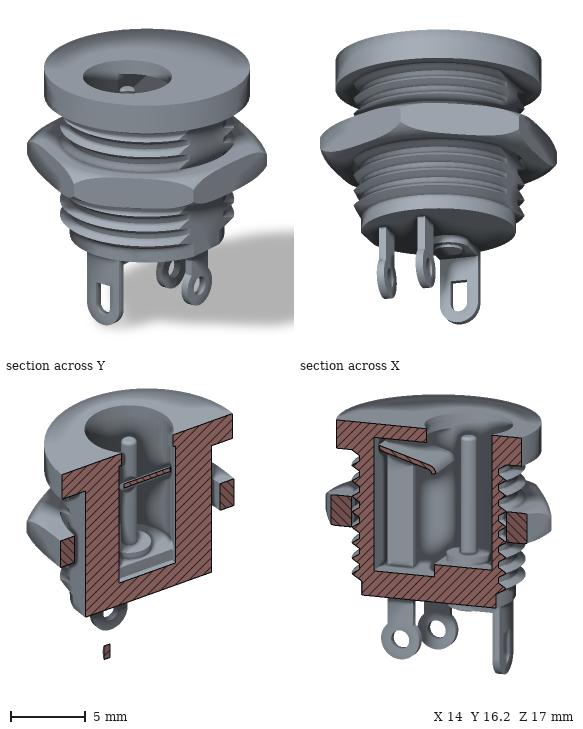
import cadquery as cq
import math


flange_radius = 6.9
flange_thickness = 2.0
housing_height = 12.0
crest_radius = 5.84
root_radius = 5.31
thread_pitch = 1.07
crest_count = 9
base_radius = 5.18
left_flat_x = -5.2
right_flat_x = 4.99
bore_radius = 2.98
bore_y = -2.16
bore_depth = 9.37

pocket_half_width = 2.26
pocket_front_y = -0.4
pocket_back_y = 3.92
pocket_roof_z = -0.99
pocket_floor_z = -10.22

nut_across_flats = 14.0
nut_face_radius = 6.9
nut_corner_drop = 0.65
nut_top_z = -(flange_thickness + 3 * thread_pitch)
nut_height = 2 * thread_pitch

pin_radius = 0.53
pin_tip_z = -0.8
pin_tip_round = 0.24
pin_collar_radius = 1.48
pin_collar_height = 0.51
rivet_radius = 0.94
rivet_height = 0.19
lug_thickness = 0.51
lug_half_width = 1.35
lug_eye_radius = 1.38
lug_leg_front_y = -4.85
lug_tip_z = -17.03
lug_slot_half_width = 0.58
lug_slot_top_z = -14.1

tail_thickness = 0.51
tail_half_width = 0.9
tail_eye_radius = 1.36
tail_hole_radius = 0.65
tail_eye_z = -15.33
spring_tail_x = 0.03
spring_tail_y = 2.65
switch_tail_x = 3.24
switch_tail_y = 1.25
switch_top_z = -9.37

spring_half_width = 1.87
spring_thickness = 0.34
spring_slope = math.radians(16)
spring_bend_y = 0.15
spring_bend_radius = 0.66
spring_bend_z = -2.5
spring_lip_lean = math.radians(15)
spring_lip_length = 0.1


def box_between(x_range, y_range, z_range):
    """Box that spans the given ranges."""
    size = [high - low for low, high in (x_range, y_range, z_range)]
    corner = (x_range[0], y_range[0], z_range[0])
    return cq.Workplane("XY").box(*size, centered=False).translate(corner)


def cylinder_between(radius, y, z_bottom, z_top):
    """Upright cylinder centred at x = 0 and the given y."""
    return cq.Workplane("XY").workplane(offset=z_bottom).center(0, y).circle(radius).extrude(z_top - z_bottom)


def make_tail(x, y, top_z):
    """Flat solder tail across X with a round eye at its lower end."""
    start_x = x - tail_thickness / 2
    neck = box_between(
        (start_x, start_x + tail_thickness),
        (y - tail_half_width, y + tail_half_width),
        (tail_eye_z, top_z),
    )
    plane = cq.Workplane("YZ").workplane(offset=start_x).center(y, tail_eye_z)
    eye = plane.circle(tail_eye_radius).extrude(tail_thickness)
    hole = plane.circle(tail_hole_radius).extrude(tail_thickness)
    return neck.union(eye).cut(hole)


def make_threaded_blank():
    """Flange, ring-grooved thread and base, revolved about Z."""
    flank = thread_pitch / 3
    flank_slope = (crest_radius - root_radius) / flank
    profile = [(0, 0), (flange_radius, 0), (flange_radius, -flange_thickness)]
    for index in range(crest_count):
        crest_z = -(flange_thickness + index * thread_pitch)
        profile.append((crest_radius, crest_z))
        if index < crest_count - 1:
            profile.append((root_radius, crest_z - flank))
            profile.append((root_radius, crest_z - 2 * flank))
    base_z = profile[-1][1] - (crest_radius - base_radius) / flank_slope
    profile += [(base_radius, base_z), (base_radius, -housing_height), (0, -housing_height)]
    return cq.Workplane("XZ").polyline(profile).close().revolve(360, (0, 0), (0, 1))


def cut_side_flats(body):
    """Cut a flat along each side of the body below the flange."""
    y_range = (-flange_radius, flange_radius)
    z_range = (-housing_height, -flange_thickness)
    left = box_between((-flange_radius, left_flat_x), y_range, z_range)
    right = box_between((right_flat_x, flange_radius), y_range, z_range)
    return body.cut(left).cut(right)


def make_housing():
    bore = cylinder_between(bore_radius, bore_y, -bore_depth, 0)
    pocket = box_between(
        (-pocket_half_width, pocket_half_width),
        (pocket_front_y, pocket_back_y),
        (pocket_floor_z, pocket_roof_z),
    )
    rivet_hole = cylinder_between(rivet_radius, bore_y, -housing_height, -bore_depth)
    housing = cut_side_flats(make_threaded_blank())
    housing = housing.cut(bore).cut(pocket).cut(rivet_hole)
    housing = housing.cut(make_tail(spring_tail_x, spring_tail_y, pocket_floor_z))
    return housing.cut(make_tail(switch_tail_x, switch_tail_y, switch_top_z))


def make_nut():
    """Hexagon with two sides square to X, a plain hole and corners rounded over on both faces."""
    corner_radius = nut_across_flats / math.sqrt(3)
    half_height = nut_height / 2
    upper_crown = (
        cq.Workplane("XZ")
        .lineTo(0, half_height)
        .lineTo(nut_face_radius, half_height)
        .tangentArcPoint((corner_radius, half_height - nut_corner_drop), relative=False)
        .lineTo(corner_radius, 0)
        .close()
        .revolve(360, (0, 0), (0, 1))
    )
    crown = upper_crown.union(upper_crown.mirror("XY"))
    hexagon = cq.Workplane("XY").polygon(6, 2 * corner_radius).extrude(half_height, both=True)
    hexagon = hexagon.rotate((0, 0, 0), (0, 0, 1), 30)
    hole = cylinder_between(crest_radius, 0, -half_height, half_height)
    return hexagon.intersect(crown).cut(hole).translate((0, 0, nut_top_z - half_height))


def make_lug():
    """L-shaped solder lug: a plate under the housing and a leg with a slot."""
    plate_bottom_z = -housing_height - lug_thickness
    leg_y_range = (lug_leg_front_y, lug_leg_front_y + lug_thickness)
    width_range = (-lug_half_width, lug_half_width)
    tip_centre_z = lug_tip_z + lug_half_width
    eye = cylinder_between(lug_eye_radius, bore_y, plate_bottom_z, -housing_height)
    plate = box_between(width_range, (lug_leg_front_y, bore_y), (plate_bottom_z, -housing_height))
    leg = box_between(width_range, leg_y_range, (tip_centre_z, -housing_height))
    leg_plane = cq.Workplane("XZ", origin=(0, leg_y_range[1], tip_centre_z))
    tip = leg_plane.circle(lug_half_width).extrude(lug_thickness)
    slot = box_between(
        (-lug_slot_half_width, lug_slot_half_width), leg_y_range, (tip_centre_z, lug_slot_top_z)
    )
    slot_end = leg_plane.circle(lug_slot_half_width).extrude(lug_thickness)
    return eye.union(plate).union(leg).union(tip).cut(slot).cut(slot_end)


def make_centre_pin():
    """Round-tipped pin with a collar on the bore floor, riveted through the lug."""
    pin = cylinder_between(pin_radius, bore_y, -bore_depth, pin_tip_z)
    pin = pin.faces(">Z").edges().fillet(pin_tip_round)
    collar = cylinder_between(pin_collar_radius, bore_y, -bore_depth, pin_collar_height - bore_depth)
    rivet_bottom_z = -housing_height - lug_thickness - rivet_height
    rivet = cylinder_between(rivet_radius, bore_y, rivet_bottom_z, -bore_depth)
    return pin.union(collar).union(rivet).union(make_lug())


def make_contact_spring():
    """Sloped strip that bends down into the bore and ends in a short lip, carried by an upright tail."""
    inner_radius = spring_bend_radius - spring_thickness
    slope_angle = math.pi / 2 + spring_slope
    lip_angle = math.pi - spring_lip_lean
    middle_angle = (slope_angle + lip_angle) / 2
    bend_z = spring_bend_z - spring_bend_radius * math.cos(spring_slope)
    back_y = spring_tail_y + tail_half_width

    def bend_point(radius, angle):
        return (spring_bend_y + radius * math.cos(angle), bend_z + radius * math.sin(angle))

    def slope_point(radius, y):
        start_y, start_z = bend_point(radius, slope_angle)
        return (y, start_z + (y - start_y) * math.tan(spring_slope))

    def lip_point(radius):
        start_y, start_z = bend_point(radius, lip_angle)
        drop_y = spring_lip_length * math.sin(spring_lip_lean)
        drop_z = spring_lip_length * math.cos(spring_lip_lean)
        return (start_y - drop_y, start_z - drop_z)

    strip = (
        cq.Workplane("YZ")
        .workplane(offset=-spring_half_width)
        .moveTo(*slope_point(spring_bend_radius, back_y))
        .lineTo(*bend_point(spring_bend_radius, slope_angle))
        .threePointArc(
            bend_point(spring_bend_radius, middle_angle), bend_point(spring_bend_radius, lip_angle)
        )
        .lineTo(*lip_point(spring_bend_radius))
        .lineTo(*lip_point(inner_radius))
        .lineTo(*bend_point(inner_radius, lip_angle))
        .threePointArc(bend_point(inner_radius, middle_angle), bend_point(inner_radius, slope_angle))
        .lineTo(*slope_point(inner_radius, back_y))
        .close()
        .extrude(2 * spring_half_width)
    )
    middle_radius = (spring_bend_radius + inner_radius) / 2
    tail_top_z = slope_point(middle_radius, spring_tail_y - tail_half_width)[1]
    return strip.union(make_tail(spring_tail_x, spring_tail_y, tail_top_z))


housing = make_housing()
nut = make_nut()
centre_pin = make_centre_pin()
contact_spring = make_contact_spring()
switch_terminal = make_tail(switch_tail_x, switch_tail_y, switch_top_z)

result = cq.Compound.makeCompound(
    [housing.val(), nut.val(), centre_pin.val(), contact_spring.val(), switch_terminal.val()]
)